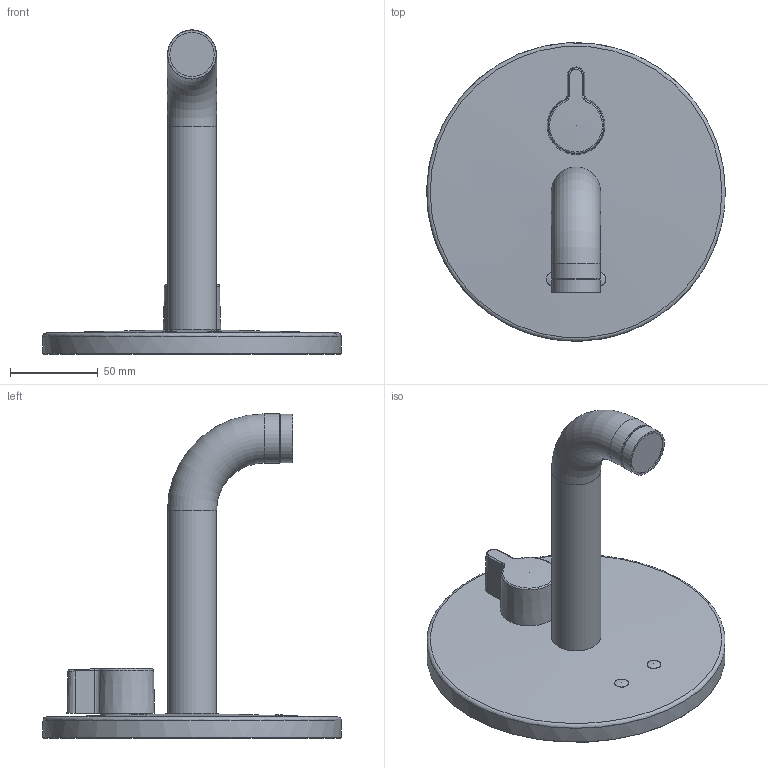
import cadquery as cq
import math

plate_radius = 85.0
plate_rim_height = 12.0
plate_apex_height = 14.1
plate_top_fillet = 2.0
plate_bottom_chamfer = 0.4

foot_height = plate_rim_height / 2

overall_height = 184.57
spout_radius = 14.0
bend_radius = 41.0
outlet_height = overall_height - spout_radius
bend_start_height = outlet_height - bend_radius
outlet_end = 57.4

groove_start = 49.6
groove_width = 0.8
groove_radius = 13.5
aerator_radius = 13.8
aerator_recess_radius = 12.6
aerator_recess_depth = 0.5

knob_y = 37.7
knob_radius = 16.4
knob_bottom = 14.1
knob_top = 39.7
knob_draft = 1.4
knob_crown_radius = 600.0
knob_edge_fillet = 0.8
lever_half_width = 5.0
lever_reach = 33.5
lever_blend_radius = 3.0
neck_radius = 14.6

lens_x = 13.0
lens_y = -49.5
lens_radius = 4.0
lens_rise = 0.5


def plate_height_at(radius):
    """Height of the conical plate top at a distance from its axis."""
    return plate_apex_height - (plate_apex_height - plate_rim_height) * radius / plate_radius


def make_plate():
    """Revolve the plate section, then soften its upper and lower rims."""
    profile = (
        cq.Workplane("XZ")
        .lineTo(plate_radius, 0)
        .lineTo(plate_radius, plate_rim_height)
        .lineTo(0, plate_apex_height)
        .close()
    )
    plate = profile.revolve(360, (0, 0, 0), (0, 1, 0))
    plate = plate.faces("%CONE").edges("%CIRCLE").fillet(plate_top_fillet)
    return plate.faces("<Z").edges().chamfer(plate_bottom_chamfer)


def outlet_cylinder(radius, start, end):
    """Cylinder on the outlet axis between two distances from the tube axis."""
    plane = cq.Workplane("XZ", origin=(0, -start, outlet_height))
    return plane.circle(radius).extrude(end - start)


def make_spout():
    """Sweep the tube round its bend and add the stepped, recessed aerator."""
    path = (
        cq.Workplane("YZ")
        .lineTo(0, bend_start_height)
        .radiusArc((-bend_radius, outlet_height), -bend_radius)
        .lineTo(-groove_start, outlet_height)
    )
    spout = cq.Workplane("XY").circle(spout_radius).sweep(path)
    groove_end = groove_start + groove_width
    spout = spout.union(outlet_cylinder(groove_radius, groove_start, groove_end))
    spout = spout.union(outlet_cylinder(aerator_radius, groove_end, outlet_end))
    recess_floor = outlet_end - aerator_recess_depth
    return spout.cut(outlet_cylinder(aerator_recess_radius, recess_floor, outlet_end))


def knob_outline():
    """Keyhole outline: knob circle blended into a round-ended lever."""
    blend_x = lever_half_width + lever_blend_radius
    blend_y = math.sqrt((knob_radius + lever_blend_radius) ** 2 - blend_x ** 2)
    to_knob = knob_radius / (knob_radius + lever_blend_radius)
    knob_point = (blend_x * to_knob, blend_y * to_knob)
    to_corner = math.atan2(blend_y, blend_x) / 2
    blend_mid = (
        blend_x - lever_blend_radius * math.cos(to_corner),
        blend_y - lever_blend_radius * math.sin(to_corner),
    )
    lever_end_y = lever_reach - lever_half_width
    return (
        cq.Workplane("XY", origin=(0, knob_y, knob_bottom))
        .moveTo(lever_half_width, blend_y)
        .lineTo(lever_half_width, lever_end_y)
        .threePointArc((0, lever_reach), (-lever_half_width, lever_end_y))
        .lineTo(-lever_half_width, blend_y)
        .threePointArc((-blend_mid[0], blend_mid[1]), (-knob_point[0], knob_point[1]))
        .threePointArc((0, -knob_radius), knob_point)
        .threePointArc(blend_mid, (lever_half_width, blend_y))
        .close()
    )


def make_knob():
    """Draft the keyhole upwards, crown its top and stand it on the neck."""
    body = knob_outline().extrude(knob_top - knob_bottom, taper=knob_draft)
    crown = cq.Workplane("XY").sphere(knob_crown_radius)
    crown = crown.translate((0, knob_y, knob_top - knob_crown_radius))
    body = body.intersect(crown)
    body = body.faces(">Z").edges().fillet(knob_edge_fillet)
    neck = cq.Workplane("XY", origin=(0, knob_y, foot_height)).circle(neck_radius)
    return body.union(neck.extrude(knob_bottom - foot_height))


def make_lens(x):
    """Revolved dome whose edge sits at plate height, with a foot sunk in the plate."""
    edge_height = plate_height_at(math.hypot(x, lens_y))
    dome_radius = (lens_radius ** 2 + lens_rise ** 2) / (2 * lens_rise)
    section = (
        cq.Workplane("XZ", origin=(x, lens_y, 0))
        .moveTo(0, foot_height)
        .lineTo(lens_radius, foot_height)
        .lineTo(lens_radius, edge_height)
        .radiusArc((0, edge_height + lens_rise), -dome_radius)
        .close()
    )
    return section.revolve(360, (0, 0, 0), (0, 1, 0))


result = make_plate().union(make_spout()).union(make_knob())
for side in (-1, 1):
    result = result.union(make_lens(side * lens_x))